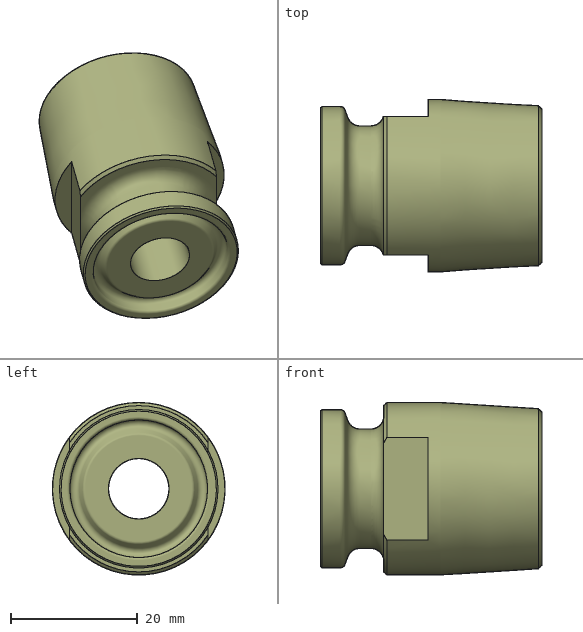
import cadquery as cq
import math

length = 35.0
bore_diameter = 9.5

flange_diameter = 25.0
flange_edge_chamfer = 0.25
flange_rim_end = 3.15
flange_back_fillet = 0.8
flange_back_angle = math.radians(20)

neck_diameter = 18.9
neck_fillet = 2.0

body_start = 10.0
body_diameter = 27.25
body_front_chamfer = 0.5
taper_start = 19.0
taper_end_diameter = 25.3
end_chamfer = 0.6

flat_width = 21.9
flat_end = 17.0

inner_face_recess = 0.9
groove_outer_radius = 11.3
groove_inner_radius = 8.4
groove_outer_lip_radius = 0.45
groove_inner_lip_radius = 0.5
groove_floor_radius = 0.8
groove_inner_angle = math.radians(35)


def arc_point(center, radius, angle):
    """Point on a circle in the (x, radius) half plane."""
    return (center[0] + radius * math.cos(angle), center[1] + radius * math.sin(angle))


def make_turned_body():
    """Revolve the outer profile about the X axis."""
    flange_radius = flange_diameter / 2
    neck_radius = neck_diameter / 2
    body_radius = body_diameter / 2
    taper_end_radius = taper_end_diameter / 2

    slope = flange_back_angle
    rim_center = (flange_rim_end, flange_radius - flange_back_fillet)
    slope_top = arc_point(rim_center, flange_back_fillet, slope)
    neck_center_radius = neck_radius + neck_fillet
    slope_bottom_radius = neck_center_radius - neck_fillet * math.sin(slope)
    slope_bottom_x = slope_top[0] + (slope_top[1] - slope_bottom_radius) * math.tan(slope)
    neck_center = (slope_bottom_x + neck_fillet * math.cos(slope), neck_center_radius)
    shoulder_center = (body_start - neck_fillet, neck_center_radius)

    rim_mid_angle = (math.pi / 2 + slope) / 2
    neck_mid_angle = math.pi + rim_mid_angle
    shoulder_mid_angle = -math.pi / 4

    profile = (
        cq.Workplane("XZ")
        .moveTo(0, 0)
        .lineTo(0, flange_radius - flange_edge_chamfer)
        .lineTo(flange_edge_chamfer, flange_radius)
        .lineTo(flange_rim_end, flange_radius)
        .threePointArc(arc_point(rim_center, flange_back_fillet, rim_mid_angle), slope_top)
        .lineTo(slope_bottom_x, slope_bottom_radius)
        .threePointArc(
            arc_point(neck_center, neck_fillet, neck_mid_angle),
            (neck_center[0], neck_radius),
        )
        .lineTo(shoulder_center[0], neck_radius)
        .threePointArc(
            arc_point(shoulder_center, neck_fillet, shoulder_mid_angle),
            (body_start, neck_center_radius),
        )
        .lineTo(body_start, body_radius - body_front_chamfer)
        .lineTo(body_start + body_front_chamfer, body_radius)
        .lineTo(taper_start, body_radius)
        .lineTo(length - end_chamfer, taper_end_radius)
        .lineTo(length, taper_end_radius - end_chamfer)
        .lineTo(length, 0)
        .close()
    )
    return profile.revolve(axisStart=(0, 0, 0), axisEnd=(1, 0, 0))


def cut_bore(part):
    """Drill the through bore along the X axis."""
    bore = cq.Workplane("YZ").circle(bore_diameter / 2).extrude(length)
    return part.cut(bore)


def cut_wrench_flats(part):
    """Mill two opposite flats, facing +Y and -Y, into the front of the body and its neck fillet."""
    flat_depth = (body_diameter - flat_width) / 2
    flat_start = body_start - neck_fillet
    flat_length = flat_end - flat_start
    for side in (-1, 1):
        cutter = cq.Workplane("XY").box(flat_length, flat_depth, body_diameter).translate(
            (flat_start + flat_length / 2, side * (flat_width + flat_depth) / 2, 0)
        )
        part = part.cut(cutter)
    return part


def cut_face_groove(part):
    """Turn the gasket groove (rounded lips, straight outer wall, sloped inner wall) and the recess."""
    outer_lip = groove_outer_lip_radius
    inner_lip = groove_inner_lip_radius
    slope = groove_inner_angle
    outer_wall_radius = groove_outer_radius - outer_lip
    outer_lip_center = (outer_lip, groove_outer_radius)

    inner_lip_center = (inner_face_recess + inner_lip, groove_inner_radius)
    wall_top = arc_point(inner_lip_center, inner_lip, slope + math.pi / 2)
    floor_center_radius = outer_wall_radius - groove_floor_radius
    wall_bottom_radius = floor_center_radius - groove_floor_radius * math.cos(slope)
    wall_bottom_x = wall_top[0] + (wall_bottom_radius - wall_top[1]) / math.tan(slope)
    floor_center = (wall_bottom_x - groove_floor_radius * math.sin(slope), floor_center_radius)

    outer_lip_mid_angle = -3 * math.pi / 4
    floor_mid_angle = slope / 2
    inner_lip_mid_angle = 3 * math.pi / 4 + slope / 2

    profile = (
        cq.Workplane("XZ")
        .moveTo(0, 0)
        .lineTo(0, groove_outer_radius)
        .threePointArc(
            arc_point(outer_lip_center, outer_lip, outer_lip_mid_angle),
            (outer_lip, outer_wall_radius),
        )
        .lineTo(floor_center[0], outer_wall_radius)
        .threePointArc(
            arc_point(floor_center, groove_floor_radius, floor_mid_angle),
            (wall_bottom_x, wall_bottom_radius),
        )
        .lineTo(*wall_top)
        .threePointArc(
            arc_point(inner_lip_center, inner_lip, inner_lip_mid_angle),
            (inner_face_recess, groove_inner_radius),
        )
        .lineTo(inner_face_recess, 0)
        .close()
    )
    return part.cut(profile.revolve(axisStart=(0, 0, 0), axisEnd=(1, 0, 0)))


result = make_turned_body()
result = cut_bore(result)
result = cut_wrench_flats(result)
result = cut_face_groove(result)